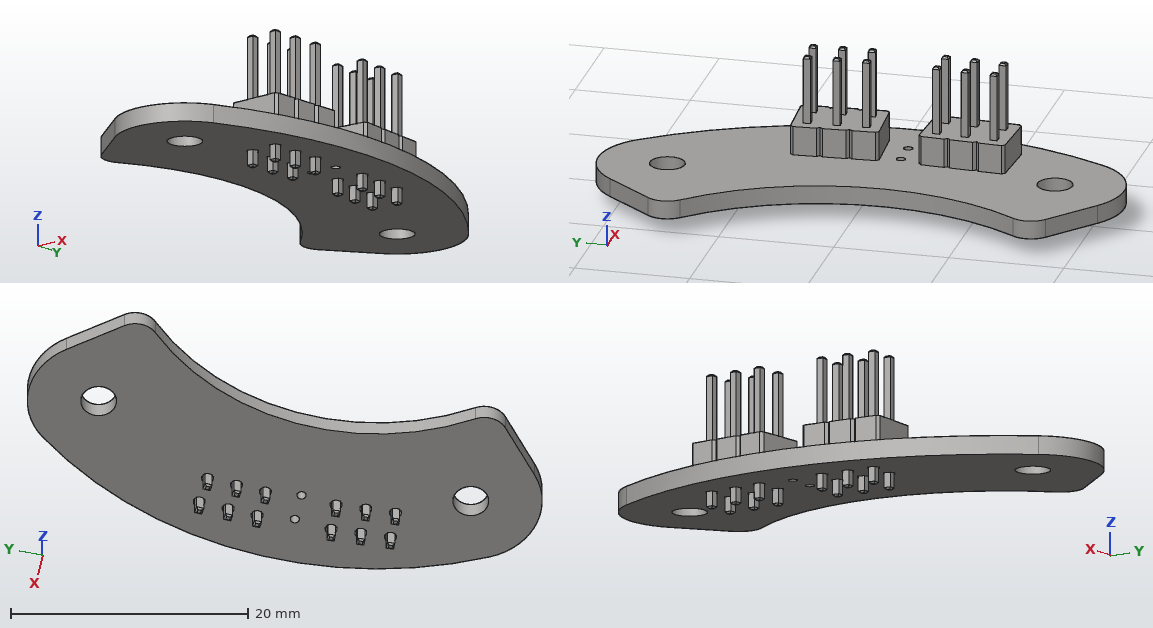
import cadquery as cq
import math


board_length = 44.9
board_thickness = 1.6
outer_radius = 36.0
inner_radius = 22.0
outer_corner_radius = 6.0
inner_corner_radius = 2.0

mount_hole_diameter = 3.0
upper_mount_angle = 38.9
mount_circle_radius = outer_radius - outer_corner_radius

mount_spacing_y = board_length - 2 * outer_corner_radius
upper_mount_y = mount_circle_radius * math.sin(math.radians(upper_mount_angle))
lower_mount_angle = math.degrees(math.asin((upper_mount_y - mount_spacing_y) / mount_circle_radius))

corner_half_angle = math.degrees(math.asin(outer_corner_radius / mount_circle_radius))
upper_end_angle = upper_mount_angle + corner_half_angle
lower_end_angle = lower_mount_angle - corner_half_angle

column_count = 2
row_count = 3
housing_width = 5.07
pitch = housing_width / column_count
housing_height = 2.55
housing_corner_chamfer = 0.25
pin_width = 0.65
pin_length = 11.55
pin_tip_chamfer = 0.155
pin_drop = 3.0
pin_hole_diameter = 1.0

header_x = 30.55
header_y = 5.65
header_tilt = 3.3
header_placements = [(header_y, header_tilt), (-header_y, -header_tilt)]

small_hole_diameter = 0.75
small_hole_center_x = 30.35


def polar(radius, angle):
    """Point at a radius and an angle in degrees around the arc centre."""
    return (radius * math.cos(math.radians(angle)), radius * math.sin(math.radians(angle)))


def centered_steps(count):
    """Positions one pitch apart, centred on zero."""
    return [(index - (count - 1) / 2) * pitch for index in range(count)]


def pin_positions():
    """Pin centres in a header's own axes."""
    return [(x, y) for x in centered_steps(column_count) for y in centered_steps(row_count)]


def header_plane(y, tilt, z):
    """Work plane at height z, in line with the header at the given place."""
    tilt_radians = math.radians(tilt)
    return cq.Plane(
        origin=(header_x, y, z),
        xDir=(math.cos(tilt_radians), math.sin(tilt_radians), 0),
        normal=(0, 0, 1),
    )


def drill(body, plane, points, diameter):
    """Cut through-holes in the board from its underside."""
    drills = cq.Workplane(plane).pushPoints(points).circle(diameter / 2).extrude(board_thickness)
    return body.cut(drills)


def make_board():
    middle_angle = (upper_end_angle + lower_end_angle) / 2
    board = (
        cq.Workplane("XY")
        .moveTo(*polar(inner_radius, lower_end_angle))
        .lineTo(*polar(outer_radius, lower_end_angle))
        .threePointArc(polar(outer_radius, middle_angle), polar(outer_radius, upper_end_angle))
        .lineTo(*polar(inner_radius, upper_end_angle))
        .threePointArc(polar(inner_radius, middle_angle), polar(inner_radius, lower_end_angle))
        .close()
        .extrude(board_thickness)
    )

    corner_radii = [(inner_radius, inner_corner_radius), (outer_radius, outer_corner_radius)]
    for arc_radius, corner_radius in corner_radii:
        for end_angle in (upper_end_angle, lower_end_angle):
            corner = cq.selectors.NearestToPointSelector(
                (*polar(arc_radius, end_angle), board_thickness / 2)
            )
            board = board.edges("|Z").edges(corner).fillet(corner_radius)

    mount_points = [
        polar(mount_circle_radius, upper_mount_angle),
        polar(mount_circle_radius, lower_mount_angle),
    ]
    board = drill(board, cq.Plane.XY(), mount_points, mount_hole_diameter)

    small_hole_points = [
        (small_hole_center_x - pitch / 2, 0),
        (small_hole_center_x + pitch / 2, 0),
    ]
    board = drill(board, cq.Plane.XY(), small_hole_points, small_hole_diameter)

    for y, tilt in header_placements:
        board = drill(board, header_plane(y, tilt, 0), pin_positions(), pin_hole_diameter)
    return board.solids()


def make_header(y, tilt):
    """Housing of one chamfered block per pin row, with its pins fixed in it."""
    block = (
        cq.Workplane("XY")
        .box(housing_width, pitch, housing_height, centered=(True, True, False))
        .edges("|Z")
        .chamfer(housing_corner_chamfer)
    )
    pin = (
        cq.Workplane("XY")
        .box(pin_width, pin_width, pin_length, centered=(True, True, False))
        .faces("<Z or >Z")
        .chamfer(pin_tip_chamfer)
        .translate((0, 0, -pin_drop))
    )
    header = cq.Workplane("XY")
    for row_y in centered_steps(row_count):
        header = header.union(block.translate((0, row_y, 0)))
    for pin_x, pin_y in pin_positions():
        header = header.union(pin.translate((pin_x, pin_y, 0)))
    return header.solids().val().moved(cq.Location(header_plane(y, tilt, board_thickness)))


board = make_board()
headers = [make_header(y, tilt) for y, tilt in header_placements]

result = cq.Compound.makeCompound([board.val(), *headers])